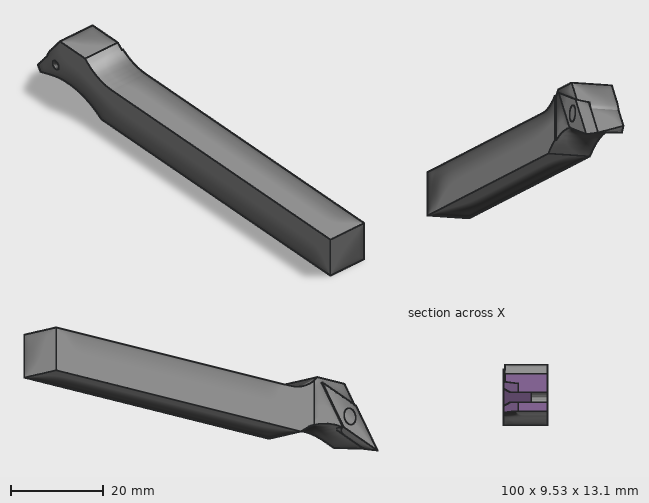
import cadquery as cq
import math


tool_length = 100.0
shank_size = 9.525
head_height = 13.1
head_top_end_x = 18.45
head_arc_radius = 12.7
throat_arc_radius = 19.05
throat_end_x = 23.85
head_recess_depth = 0.3
head_recess_end_x = 19.8
cove_radius = 6.0

insert_edge = 11.07
insert_angle = 35.0
insert_thickness = 3.1
insert_clearance = 7.0
lower_edge_angle = 17.5

screw_diameter = 2.1
screw_head_diameter = 3.6
screw_head_height = 1.4
screw_length = 6.0

upper_edge_angle = lower_edge_angle + insert_angle
bisector_angle = lower_edge_angle + insert_angle / 2
half_angle = math.radians(insert_angle / 2)
clearance_slope = math.tan(math.radians(insert_clearance))
relief_offset = insert_thickness * clearance_slope
half_diagonal = insert_edge * math.cos(half_angle)


def polar(distance, angle, start=(0.0, 0.0)):
    """Point in XZ at a distance and angle in degrees from a start point."""
    turn = math.radians(angle)
    return (start[0] + distance * math.cos(turn), start[1] + distance * math.sin(turn))


screw_x, screw_z = polar(half_diagonal, bisector_angle)


def make_insert_blank():
    """Rhombic plate whose sides taper inward below its top face."""
    lower_corner = polar(insert_edge, lower_edge_angle)
    upper_corner = polar(insert_edge, upper_edge_angle)
    far_corner = polar(2 * half_diagonal, bisector_angle)
    return (
        cq.Workplane("XZ")
        .polyline([(0, 0), lower_corner, far_corner, upper_corner])
        .close()
        .extrude(insert_thickness, taper=insert_clearance)
    )


def make_insert_pocket():
    """Seat for the insert, kept open beyond the upper cutting edge."""
    open_run = relief_offset / math.sin(math.radians(insert_angle))
    open_x, open_z = polar(-open_run, lower_edge_angle)
    return insert_blank.union(insert_blank.translate((open_x, 0, open_z)))


def make_screw():
    """Countersunk screw, its head flush with the insert's top face."""
    shaft_radius = screw_diameter / 2
    return (
        cq.Workplane("XY")
        .polyline([
            (0, 0),
            (screw_head_diameter / 2, 0),
            (shaft_radius, -screw_head_height),
            (shaft_radius, -screw_length),
            (0, -screw_length),
        ])
        .close()
        .revolve(360, (0, 0, 0), (0, 1, 0))
        .translate((screw_x, 0, screw_z))
    )


def make_holder_blank():
    """Shank and head profile, relieved to the insert's underside near the tip."""
    relief_tip = polar(relief_offset / math.sin(half_angle), bisector_angle)

    lower_relief_offset = relief_offset - throat_arc_radius
    end_along = throat_end_x * math.cos(math.radians(lower_edge_angle))
    end_across = -throat_end_x * math.sin(math.radians(lower_edge_angle))
    centre_along = end_along - math.sqrt(throat_arc_radius**2 - (end_across - lower_relief_offset)**2)
    throat_start = polar(relief_offset, lower_edge_angle + 90, polar(centre_along, lower_edge_angle))

    cove_length = math.sqrt(2 * cove_radius * relief_offset - relief_offset**2)
    cove_top = polar(insert_edge, upper_edge_angle)
    cove_bottom = polar(
        relief_offset, upper_edge_angle - 90, polar(insert_edge - cove_length, upper_edge_angle)
    )
    slope_top_x = head_height / math.tan(math.radians(upper_edge_angle))

    head_rise = head_height - shank_size
    head_arc_run = math.sqrt(2 * head_arc_radius * head_rise - head_rise**2)

    return (
        cq.Workplane("XZ")
        .moveTo(*relief_tip)
        .lineTo(*throat_start)
        .radiusArc((throat_end_x, 0), throat_arc_radius)
        .lineTo(tool_length, 0)
        .lineTo(tool_length, shank_size)
        .lineTo(head_top_end_x + head_arc_run, shank_size)
        .radiusArc((head_top_end_x, head_height), head_arc_radius)
        .lineTo(slope_top_x, head_height)
        .lineTo(*cove_top)
        .radiusArc(cove_bottom, -cove_radius)
        .close()
        .extrude(shank_size)
    )


def make_nose_cutter():
    """Wedge that slopes the holder's nose back in line with the insert's corner edge."""
    lean = math.radians(bisector_angle)
    nose_plane = cq.Plane(
        origin=(0, 0, 0),
        xDir=(math.cos(lean), 0, math.sin(lean)),
        normal=(-math.sin(lean), 0, math.cos(lean)),
    )
    nose_setback = shank_size * clearance_slope / math.sin(half_angle)
    return (
        cq.Workplane(nose_plane)
        .polyline([(0, 0), (nose_setback, -shank_size), (0, -shank_size)])
        .close()
        .extrude(shank_size, both=True)
    )


def make_head_recess():
    """Shallow step across the back of the head."""
    return (
        cq.Workplane("XY")
        .box(head_recess_end_x, head_recess_depth, head_height, centered=False)
        .translate((0, -head_recess_depth, 0))
    )


def make_screw_hole():
    """Hole for the screw, right through the holder."""
    return (
        cq.Workplane("XZ")
        .center(screw_x, screw_z)
        .circle(screw_diameter / 2)
        .extrude(shank_size)
    )


insert_blank = make_insert_blank()
screw = make_screw()
insert = insert_blank.cut(screw)
holder = (
    make_holder_blank()
    .cut(make_nose_cutter())
    .cut(make_head_recess())
    .cut(make_insert_pocket())
    .cut(make_screw_hole())
)

result = cq.Compound.makeCompound([
    holder.solids().val(),
    insert.solids().val(),
    screw.solids().val(),
])